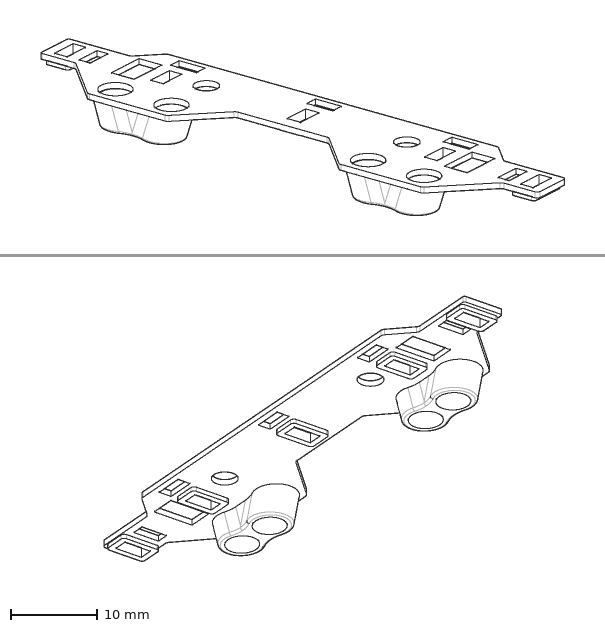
import cadquery as cq
import math

LENGTH = 72.0
DEPTH = 15.22
HEIGHT = 4.25
PLATE_THICKNESS = 0.75

ARM_WIDTH = 5.5
REAR_STEP = 3.05
BRIDGE_WIDTH = 9.45
REAR_Y = ARM_WIDTH / 2 + REAR_STEP
FRONT_Y = REAR_Y - DEPTH
BRIDGE_FRONT_Y = REAR_Y - BRIDGE_WIDTH
ARM_REAR_Y = ARM_WIDTH / 2
ARM_FRONT_Y = -ARM_WIDTH / 2
END_X = LENGTH / 2
REAR_SHOULDER_X = 27.0
FRONT_SHOULDER_X = 30.85
LOBE_OUTER_X = FRONT_SHOULDER_X - (ARM_FRONT_Y - FRONT_Y)
LEFT_LOBE_INNER_X = -12.75
RIGHT_LOBE_INNER_X = 12.2
LOBE_INNER_RUN = BRIDGE_FRONT_Y - FRONT_Y
BEND_RADIUS = 0.6
LEFT_END_RADIUS = 0.25
RIGHT_END_RADIUS = 0.45

SLOT_Y = 0.0
SLOT_LENGTH = 3.65
REAR_SLOT_Y = 4.11
REAR_SLOT_LENGTH = 3.75
REAR_SLOT_WIDTH = 1.7
COLLARED_SLOT_WIDTH = 1.8
COLLARED_SLOT_XS = (19.8, 33.7)
PAIRED_OPENINGS = (
    (30.3, SLOT_Y, 1.6, 3.5),
    (24.08, SLOT_Y, 3.3, 5.4),
    (19.72, REAR_SLOT_Y, REAR_SLOT_LENGTH, REAR_SLOT_WIDTH),
)
CENTER_SLOT_WIDTH = 1.95
CENTER_REAR_SLOT = (0.0, REAR_SLOT_Y, REAR_SLOT_LENGTH, REAR_SLOT_WIDTH)
ROUND_HOLE_X = 14.5
ROUND_HOLE_Y = 0.68
ROUND_HOLE_DIAMETER = 3.1

COLLAR_DROP = 0.55
COLLAR_WALL = 0.8
COLLAR_CORNER_RADIUS = 0.45

SOCKET_PAIR_XS = (-18.3, 18.25)
SOCKET_Y = REAR_Y - 12.27
SOCKET_TILT = 18.0
SOCKET_OFFSET = 4.12
SOCKET_OUTER_RADIUS = 2.75
SOCKET_BORE_DIAMETER = 4.0
SOCKET_RIM_RADIUS = 0.3
MOUTH_DIAMETER = 4.1
MOUTH_OFFSET = 4.05
WEB_HALF_WIDTH = 2.2
WEB_BLEND_RADIUS = 4.5
CUT_MARGIN = 2.0


def build_plate():
    points = [
        (-END_X, ARM_REAR_Y),
        (-REAR_SHOULDER_X, ARM_REAR_Y),
        (-REAR_SHOULDER_X + REAR_STEP, REAR_Y),
        (REAR_SHOULDER_X - REAR_STEP, REAR_Y),
        (REAR_SHOULDER_X, ARM_REAR_Y),
        (END_X, ARM_REAR_Y),
        (END_X, ARM_FRONT_Y),
        (FRONT_SHOULDER_X, ARM_FRONT_Y),
        (LOBE_OUTER_X, FRONT_Y),
        (RIGHT_LOBE_INNER_X, FRONT_Y),
        (RIGHT_LOBE_INNER_X - LOBE_INNER_RUN, BRIDGE_FRONT_Y),
        (LEFT_LOBE_INNER_X + LOBE_INNER_RUN, BRIDGE_FRONT_Y),
        (LEFT_LOBE_INNER_X, FRONT_Y),
        (-LOBE_OUTER_X, FRONT_Y),
        (-FRONT_SHOULDER_X, ARM_FRONT_Y),
        (-END_X, ARM_FRONT_Y),
    ]
    plate = cq.Workplane("XY").polyline(points).close().extrude(-PLATE_THICKNESS)
    bend_limit_x = (END_X + FRONT_SHOULDER_X) / 2
    bends = cq.selectors.BoxSelector((-bend_limit_x, -DEPTH, -HEIGHT), (bend_limit_x, DEPTH, HEIGHT))
    plate = plate.edges("|Z").edges(bends).fillet(BEND_RADIUS)
    plate = plate.faces("<X").edges("|Z").fillet(LEFT_END_RADIUS)
    return plate.faces(">X").edges("|Z").fillet(RIGHT_END_RADIUS)


def add_collar(body, x, slot_width):
    collar = (
        cq.Workplane("XY")
        .rect(slot_width + 2 * COLLAR_WALL, SLOT_LENGTH + 2 * COLLAR_WALL)
        .extrude(-PLATE_THICKNESS - COLLAR_DROP)
        .edges("|Z")
        .fillet(COLLAR_CORNER_RADIUS)
        .translate((x, SLOT_Y, 0))
    )
    return body.union(collar)


def cut_rectangle(body, x, y, width, length):
    cutter = cq.Workplane("XY").rect(width, length).extrude(-HEIGHT)
    return body.cut(cutter.translate((x, y, 0)))


def along_socket_axis(profile):
    """Extrude a profile drawn around the axis of the left socket, leaning towards +X going down."""
    solid = profile.extrude(-HEIGHT - 2 * CUT_MARGIN).translate((0, 0, CUT_MARGIN))
    solid = solid.rotate((0, 0, 0), (0, 1, 0), -SOCKET_TILT)
    return solid.translate((-SOCKET_OFFSET, 0, 0))


def build_half_socket_body():
    """Left socket with its half of the joining web; the web flares out of the tube on round flanks."""
    blend_center_y = WEB_HALF_WIDTH + WEB_BLEND_RADIUS
    center_distance = SOCKET_OUTER_RADIUS + WEB_BLEND_RADIUS
    blend_center_x = math.sqrt(center_distance**2 - blend_center_y**2)
    touch_x = blend_center_x * SOCKET_OUTER_RADIUS / center_distance
    touch_y = blend_center_y * SOCKET_OUTER_RADIUS / center_distance
    half_angle = (math.atan2(touch_y, touch_x) + math.pi / 2) / 2
    mid_x = blend_center_x - WEB_BLEND_RADIUS * math.cos(half_angle)
    mid_y = blend_center_y - WEB_BLEND_RADIUS * math.sin(half_angle)
    web_end_x = 2 * SOCKET_OFFSET
    profile = (
        cq.Workplane("XY")
        .moveTo(touch_x, touch_y)
        .threePointArc((-SOCKET_OUTER_RADIUS, 0), (touch_x, -touch_y))
        .threePointArc((mid_x, -mid_y), (blend_center_x, -WEB_HALF_WIDTH))
        .lineTo(web_end_x, -WEB_HALF_WIDTH)
        .lineTo(web_end_x, WEB_HALF_WIDTH)
        .lineTo(blend_center_x, WEB_HALF_WIDTH)
        .threePointArc((mid_x, mid_y), (touch_x, touch_y))
        .close()
    )
    envelope_height = HEIGHT - PLATE_THICKNESS / 2
    envelope = cq.Workplane("XY").box(DEPTH, DEPTH, envelope_height, centered=(False, True, False))
    return along_socket_axis(profile).intersect(envelope.translate((-DEPTH, 0, -HEIGHT)))


def build_socket_pair():
    """Two mirrored sockets with their web, still without bores."""
    half = build_half_socket_body()
    pair = half.union(half.mirror("YZ"))
    return pair.faces("<Z").edges().fillet(SOCKET_RIM_RADIUS)


def build_socket_openings():
    """Leaning bores below the plate and their upright mouths through the plate."""
    below_plate = cq.Workplane("XY").box(DEPTH * 2, DEPTH, HEIGHT, centered=(True, True, False))
    below_plate = below_plate.translate((0, 0, -PLATE_THICKNESS - HEIGHT))
    bore = along_socket_axis(cq.Workplane("XY").circle(SOCKET_BORE_DIAMETER / 2))
    mouth = cq.Workplane("XY").circle(MOUTH_DIAMETER / 2).extrude(-PLATE_THICKNESS)
    opening = bore.intersect(below_plate).union(mouth.translate((-MOUTH_OFFSET, 0, 0)))
    return opening, opening.mirror("YZ")


def build_part():
    body = build_plate()
    body = add_collar(body, 0, CENTER_SLOT_WIDTH)
    for x in COLLARED_SLOT_XS:
        for side in (-1, 1):
            body = add_collar(body, side * x, COLLARED_SLOT_WIDTH)

    for pair_x in SOCKET_PAIR_XS:
        body = body.union(build_socket_pair().translate((pair_x, SOCKET_Y, 0)))
        for opening in build_socket_openings():
            body = body.cut(opening.translate((pair_x, SOCKET_Y, 0)))

    body = cut_rectangle(body, 0, SLOT_Y, CENTER_SLOT_WIDTH, SLOT_LENGTH)
    body = cut_rectangle(body, *CENTER_REAR_SLOT)
    for side in (-1, 1):
        for x in COLLARED_SLOT_XS:
            body = cut_rectangle(body, side * x, SLOT_Y, COLLARED_SLOT_WIDTH, SLOT_LENGTH)
        for x, y, width, length in PAIRED_OPENINGS:
            body = cut_rectangle(body, side * x, y, width, length)
        hole = cq.Workplane("XY").circle(ROUND_HOLE_DIAMETER / 2).extrude(-HEIGHT)
        body = body.cut(hole.translate((side * ROUND_HOLE_X, ROUND_HOLE_Y, 0)))
    return body


result = build_part()